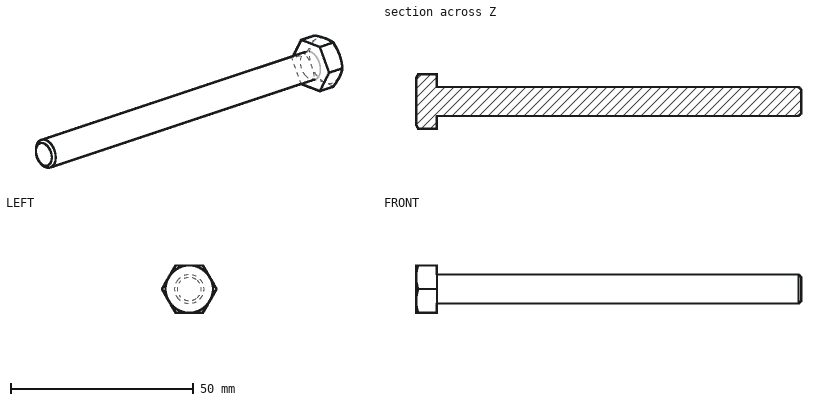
import cadquery as cq
import math

head_height = 5.68
shank_length = 100.0
across_flats = 13.0
across_corners = across_flats / math.cos(math.radians(30))
shank_diameter = 8.0
tip_chamfer = 0.77
underhead_fillet = 0.1
head_chamfer_angle = 30.0
chamfer_circle_diameter = across_flats


def make_head():
    """Hexagonal prism with two flats facing +Z and -Z, its outer corners cut by a cone."""
    prism = (
        cq.Workplane("YZ")
        .polygon(6, across_corners)
        .extrude(-head_height)
    )
    face_radius = chamfer_circle_diameter / 2
    corner_radius = across_corners / 2
    chamfer_depth = (corner_radius - face_radius) * math.tan(math.radians(head_chamfer_angle))
    envelope = (
        cq.Workplane("XY")
        .moveTo(-head_height, 0)
        .lineTo(-head_height, face_radius)
        .lineTo(-head_height + chamfer_depth, corner_radius)
        .lineTo(0, corner_radius)
        .lineTo(0, 0)
        .close()
        .revolve(360, (0, 0, 0), (1, 0, 0))
    )
    return prism.intersect(envelope)


def make_shank():
    """Plain round shank with a chamfered tip."""
    return (
        cq.Workplane("YZ")
        .circle(shank_diameter / 2)
        .extrude(shank_length)
        .faces(">X")
        .chamfer(tip_chamfer)
    )


def fillet_under_head(bolt):
    """Round the inside corner where the shank meets the bearing face."""
    reach = shank_diameter / 2 + underhead_fillet
    root_zone = cq.selectors.BoxSelector(
        (-underhead_fillet, -reach, -reach),
        (underhead_fillet, reach, reach),
    )
    return bolt.edges("%CIRCLE").edges(root_zone).fillet(underhead_fillet)


result = fillet_under_head(make_head().union(make_shank()))